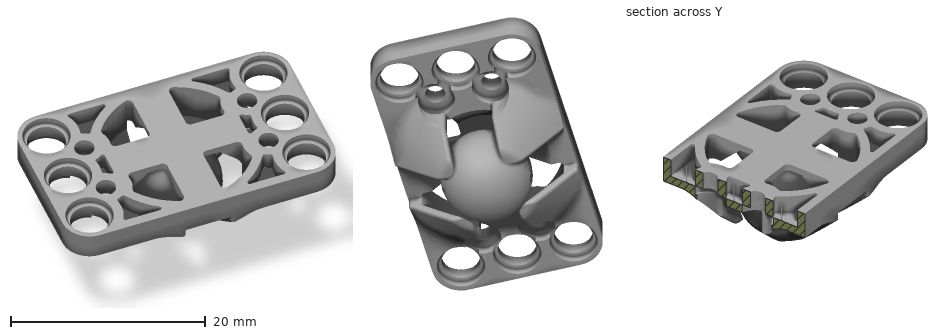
import cadquery as cq
import math

PLATE_WIDTH = 18.0
PLATE_LENGTH = 30.0
PLATE_THICKNESS = 3.0
PLATE_CORNER_RADIUS = 3.0

LARGE_HOLE_PITCH = 6.0
LARGE_HOLE_Y = 12.0
LARGE_HOLE_RADIUS = 2.0
COUNTERBORE_RADIUS = 2.5
COUNTERBORE_DEPTH = 0.8

SCREW_X = LARGE_HOLE_PITCH / 2
SCREW_Y = 9.0
SCREW_RADIUS = 1.05
SEAT_RADIUS = 2.05
SEAT_DEPTH = 1.0
HEAD_CLEARANCE_RADIUS = 1.8

BALL_RADIUS = 4.77
TOTAL_HEIGHT = 10.1
BALL_Z = PLATE_THICKNESS - TOTAL_HEIGHT + BALL_RADIUS
BALL_CLEARANCE = 0.1

CONE_ANGLE = math.radians(45)
CAGE_HEIGHT = 5.13
CAGE_TOP_RADIUS = 10.35
CAGE_BOTTOM_RADIUS = CAGE_TOP_RADIUS - CAGE_HEIGHT / math.tan(CONE_ANGLE)
CAGE_WALL = 0.75
CAGE_INNER_TOP_RADIUS = CAGE_TOP_RADIUS - CAGE_WALL / math.sin(CONE_ANGLE)
CAGE_RING_FILLET = 1.2
SLOT_HALF_WIDTH = 2.5
SLOT_EDGE_FILLET = 0.33

ROOF_THICKNESS = 0.75
CHAMBER_HEIGHT = PLATE_THICKNESS - ROOF_THICKNESS
CHAMBER_TOP_RADIUS = 4.4
CHAMBER_BOTTOM_RADIUS = CHAMBER_TOP_RADIUS + CHAMBER_HEIGHT / math.tan(CONE_ANGLE)

ARM_HALF_WIDTH = 2.0
WINDOW_RADIUS = 8.0
WINDOW_SCREW_RADIUS = 2.75
WINDOW_CORNER_RADIUS = 0.5

POCKET_FLOOR_Z = 1.0
POCKET_RING_RADIUS = 9.0
POCKET_SIDE_X = 8.0
POCKET_INNER_Y = 7.45
POCKET_LARGE_HOLE_RADIUS = 3.5
POCKET_SCREW_RADIUS = 2.0
POCKET_CORNER_RADIUS = 0.25

CENTER = (0, 0)
LARGE_HOLES = [(column * LARGE_HOLE_PITCH, side * LARGE_HOLE_Y) for column in (-1, 0, 1) for side in (-1, 1)]
QUADRANTS = [(x_sign, y_sign) for x_sign in (1, -1) for y_sign in (1, -1)]
ENDS = [(1, 1), (1, -1)]
SCREWS = [(x_sign * SCREW_X, y_sign * SCREW_Y) for x_sign, y_sign in QUADRANTS]


def cylinders(points, radius, bottom, top):
    return cq.Workplane("XY", origin=(0, 0, bottom)).pushPoints(points).circle(radius).extrude(top - bottom)


def block(x_range, y_range, bottom, top):
    size = (x_range[1] - x_range[0], y_range[1] - y_range[0], top - bottom)
    return cq.Workplane("XY").box(*size, centered=False).translate((x_range[0], y_range[0], bottom))


def quadrant_block(inset, bottom, top):
    """Block from (inset, inset) out to the +X +Y corner of the plate."""
    return block((inset, PLATE_WIDTH / 2), (inset, PLATE_LENGTH / 2), bottom, top)


def cone(bottom_radius, top_radius, bottom, top):
    profile = cq.Workplane("XZ").polyline([(0, bottom), (bottom_radius, bottom), (top_radius, top), (0, top)])
    return profile.close().revolve(360, (0, 0, 0), (0, 1, 0))


def ball_sphere(radius):
    return cq.Workplane("XY").sphere(radius).translate((0, 0, BALL_Z))


def mirrored_copies(shape, signs):
    """Copies of a shape in the +X +Y quadrant, one for each (x_sign, y_sign)."""
    copies = []
    for x_sign, y_sign in signs:
        copy = shape if x_sign > 0 else shape.mirror("YZ")
        copies.append(copy if y_sign > 0 else copy.mirror("XZ"))
    return copies


def plate():
    blank = cq.Workplane("XY").rect(PLATE_WIDTH, PLATE_LENGTH).extrude(PLATE_THICKNESS)
    return blank.edges("|Z").fillet(PLATE_CORNER_RADIUS)


def cage_cone():
    """Solid cone with a concave fillet against the plate and a rounded lower rim."""
    half_angle = CONE_ANGLE / 2
    tangent = CAGE_RING_FILLET * math.tan(half_angle)
    tangent_run = tangent * math.cos(CONE_ANGLE)
    tangent_drop = tangent * math.sin(CONE_ANGLE)
    mid_run = CAGE_RING_FILLET * math.sin(half_angle)
    mid_drop = CAGE_RING_FILLET * (1 - math.cos(half_angle))
    root = CAGE_TOP_RADIUS + tangent
    flat = CAGE_BOTTOM_RADIUS - tangent
    profile = (
        cq.Workplane("XZ")
        .lineTo(root, 0)
        .threePointArc((root - mid_run, -mid_drop), (CAGE_TOP_RADIUS - tangent_run, -tangent_drop))
        .lineTo(CAGE_BOTTOM_RADIUS + tangent_run, tangent_drop - CAGE_HEIGHT)
        .threePointArc((flat + mid_run, mid_drop - CAGE_HEIGHT), (flat, -CAGE_HEIGHT))
        .lineTo(0, -CAGE_HEIGHT)
        .close()
    )
    return profile.revolve(360, (0, 0, 0), (0, 1, 0))


def petal():
    """One quarter of the cage, solid inside, with its outer slot edges rounded."""
    quarter = cage_cone().intersect(quadrant_block(SLOT_HALF_WIDTH, -CAGE_HEIGHT, 0))
    quarter = quarter.cut(cylinders([(SCREW_X, SCREW_Y)], HEAD_CLEARANCE_RADIUS, -CAGE_HEIGHT, 0))
    x_face_edges = quarter.faces("<X").edges("not (>Z or <Y)")
    y_face_edges = quarter.faces("<Y").edges("not (>Z or <X)")
    return x_face_edges.add(y_face_edges).fillet(SLOT_EDGE_FILLET)


def window():
    """Cutter for one window and for the hollow of the petal below it."""
    bottom = -CAGE_HEIGHT
    top = PLATE_THICKNESS
    outline = cylinders([CENTER], WINDOW_RADIUS, bottom, top)
    outline = outline.intersect(quadrant_block(ARM_HALF_WIDTH, bottom, top))
    outline = outline.cut(cylinders([(SCREW_X, SCREW_Y)], WINDOW_SCREW_RADIUS, bottom, top))
    outline = outline.edges("|Z").fillet(WINDOW_CORNER_RADIUS)
    inner_bottom_radius = CAGE_INNER_TOP_RADIUS + bottom / math.tan(CONE_ANGLE)
    inner_plate_radius = CAGE_INNER_TOP_RADIUS + top / math.tan(CONE_ANGLE)
    return outline.intersect(cone(inner_bottom_radius, inner_plate_radius, bottom, top))


def ball_space():
    chamber = cone(CHAMBER_BOTTOM_RADIUS, CHAMBER_TOP_RADIUS, 0, CHAMBER_HEIGHT)
    return chamber.union(ball_sphere(BALL_RADIUS + BALL_CLEARANCE))


def pocket_with_hole_walls(blank, large_hole, screws):
    """Cut a pocket blank back to even walls around the nearby holes."""
    pocket = blank.cut(cylinders([large_hole], POCKET_LARGE_HOLE_RADIUS, POCKET_FLOOR_Z, PLATE_THICKNESS))
    return pocket.cut(cylinders(screws, POCKET_SCREW_RADIUS, POCKET_FLOOR_Z, PLATE_THICKNESS))


def corner_pocket():
    blank = block((0, POCKET_SIDE_X), (0, LARGE_HOLE_Y), POCKET_FLOOR_Z, PLATE_THICKNESS)
    blank = blank.cut(cylinders([CENTER], POCKET_RING_RADIUS, POCKET_FLOOR_Z, PLATE_THICKNESS))
    pieces = pocket_with_hole_walls(blank, (LARGE_HOLE_PITCH, LARGE_HOLE_Y), [(SCREW_X, SCREW_Y)])
    return pieces.solids(">X").edges("|Z").fillet(POCKET_CORNER_RADIUS)


def middle_pocket():
    blank = block((-SCREW_X, SCREW_X), (POCKET_INNER_Y, SCREW_Y), POCKET_FLOOR_Z, PLATE_THICKNESS)
    screws = [(-SCREW_X, SCREW_Y), (SCREW_X, SCREW_Y)]
    pocket = pocket_with_hole_walls(blank, (0, LARGE_HOLE_Y), screws)
    return pocket.edges("|Z").fillet(POCKET_CORNER_RADIUS)


def large_hole_cutters():
    upper_seat_z = PLATE_THICKNESS - COUNTERBORE_DEPTH
    return [
        cylinders(LARGE_HOLES, LARGE_HOLE_RADIUS, 0, PLATE_THICKNESS),
        cylinders(LARGE_HOLES, COUNTERBORE_RADIUS, 0, COUNTERBORE_DEPTH),
        cylinders(LARGE_HOLES, COUNTERBORE_RADIUS, upper_seat_z, PLATE_THICKNESS),
    ]


def screw_hole_cutters():
    return [
        cylinders(SCREWS, SCREW_RADIUS, 0, PLATE_THICKNESS),
        cylinders(SCREWS, SEAT_RADIUS, 0, SEAT_DEPTH),
    ]


def make_holder():
    body = plate()
    for cage_petal in mirrored_copies(petal(), QUADRANTS):
        body = body.union(cage_petal)
    cutters = [
        *mirrored_copies(window(), QUADRANTS),
        ball_space(),
        *mirrored_copies(corner_pocket(), QUADRANTS),
        *mirrored_copies(middle_pocket(), ENDS),
        *large_hole_cutters(),
        *screw_hole_cutters(),
    ]
    for cutter in cutters:
        body = body.cut(cutter)
    return body


def make_ball():
    return ball_sphere(BALL_RADIUS)


holder = make_holder()
ball = make_ball()

result = cq.Compound.makeCompound([holder.solids().val(), ball.val()])